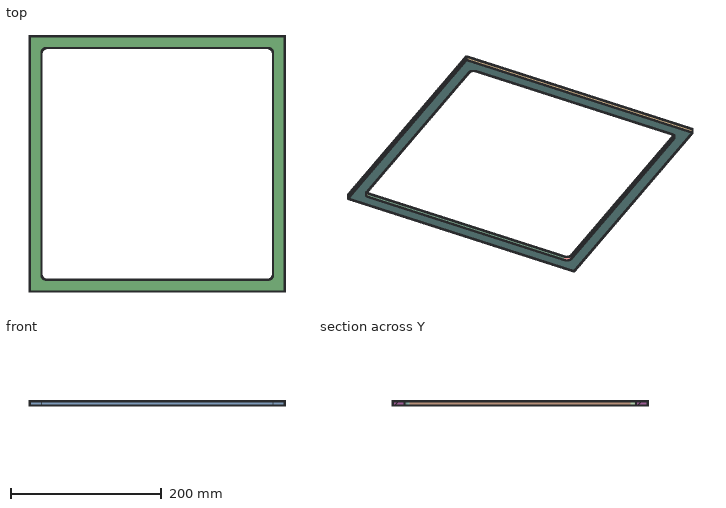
import cadquery as cq

outer_side = 339.0
thickness = 6.0
rail_width = 16.0
opening_corner_radius = 6.8

opening_side = outer_side - 2 * rail_width

plate = cq.Workplane("XY").box(outer_side, outer_side, thickness)
opening = (
    cq.Workplane("XY")
    .box(opening_side, opening_side, thickness)
    .edges("|Z")
    .fillet(opening_corner_radius)
)

result = plate.cut(opening)